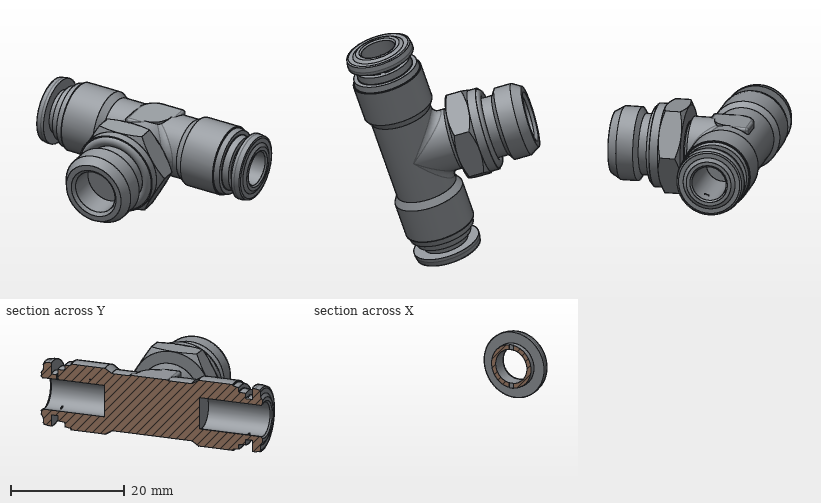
import cadquery as cq
import math

run_radius = 5.5
stem_length = 21.7
blend_radius = 1.35

run_half_length = 21.1
neck_end = 7.6
socket_cone_end = 8.9
socket_radius = 6.3
socket_end = 15.4
cap_end = 16.55
cap_inner_radius = 6.05
cap_outer_radius = 5.85
seat_length = 0.1
seat_step = 0.06
ring_end = 17.9
ring_radius = 5.05
ring_end_radius = 4.97
sleeve_radius = 4.03
collar_start = 19.1
collar_taper_start = 19.67
collar_bevel_start = 20.58
collar_end = 20.7
collar_radius = 6.05
collar_bevel_radius = 5.87
collar_face_radius = 5.55
right_sleeve_turn = 18.7
slot_width = 0.8
slot_length = 0.2
lip_base_radius = 4.7
lip_tip_radius = 4.05
tube_bore_radius = 3.1
tube_bore_mouth_radius = 3.4
tube_bore_depth = 12.0

body_neck_end = 7.43
body_cone_end = 8.0
body_cone_radius = 4.63
hex_start = 8.2
hex_end = 12.29
hex_across_flats = 15.0
hex_turn = 1.9
hex_face_radius = 7.46
hex_chamfer_angle = 30.0
flange_radius = 7.45
flange_end = 13.84
seal_center_radius = 6.36
seal_section_radius = 0.9
seal_end = 14.54
undercut_radius = seal_center_radius - seal_section_radius
undercut_end = 16.22
thread_radius = 6.58
thread_start = 16.98
thread_end = 20.03
stem_tip_radius = 5.57
stem_bore_radius = 4.0
stem_bore_mouth_radius = 4.55
stem_bore_depth = 5.0

pad_radius = 3.5
pad_reach = 4.5
pad_edge_radius = 0.5
pad_base = 2.0


def revolve_about_x(points):
    return cq.Workplane("XY").polyline(points).close().revolve(360, (0, 0, 0), (1, 0, 0))


def mouth_chamfered_bore(radius, mouth_radius, depth):
    """Bore along +X from the origin, with a 45 degree chamfer at its mouth."""
    chamfer = mouth_radius - radius
    return revolve_about_x(
        [(0, 0), (0, mouth_radius), (chamfer, radius), (depth, radius), (depth, 0)]
    )


def body():
    """Equal run and branch cylinders crossing at right angles, blended in the two crotches."""
    run = cq.Workplane("YZ").circle(run_radius).extrude(2 * neck_end).translate((-neck_end, 0, 0))
    branch = cq.Workplane("XZ").circle(run_radius).extrude(body_neck_end)
    return run.union(branch).edges("%ELLIPSE").fillet(blend_radius)


def pad():
    """Pad flush with the run crest: a soft edged outline, plus a plain round fourth quadrant."""
    arc_middle = pad_radius * math.sqrt(0.5)
    height = run_radius - pad_base
    soft_block = (
        cq.Workplane("XY", origin=(0, 0, pad_base))
        .moveTo(0, pad_radius)
        .lineTo(pad_reach, pad_radius)
        .lineTo(pad_reach, -pad_reach)
        .lineTo(-pad_radius, -pad_reach)
        .lineTo(-pad_radius, 0)
        .threePointArc((-arc_middle, arc_middle), (0, pad_radius))
        .close()
        .extrude(height)
        .edges("|Z and (>X and >Y or <X and <Y)")
        .fillet(pad_edge_radius)
        .faces(">Z")
        .edges()
        .fillet(pad_edge_radius)
    )
    fourth_quadrant = (
        cq.Workplane("XY", origin=(0, 0, pad_base))
        .rect(2 * pad_reach, -2 * pad_reach, centered=False)
        .extrude(height)
    )
    drum = cq.Workplane("XY", origin=(0, 0, pad_base)).circle(pad_radius).extrude(height)
    return soft_block.cut(fourth_quadrant).union(drum.intersect(fourth_quadrant))


def socket():
    """One push-in socket, pointing along +X: body, cap, ring, sleeve and release collar."""
    outline = [
        (neck_end, 0),
        (neck_end, run_radius),
        (socket_cone_end, socket_radius),
        (socket_end, socket_radius),
        (socket_end, cap_inner_radius + seat_step),
        (socket_end + seat_length, cap_inner_radius + seat_step),
        (socket_end + seat_length, cap_inner_radius),
        (cap_end, cap_outer_radius),
        (cap_end, ring_radius + seat_step),
        (cap_end + seat_length, ring_radius + seat_step),
        (cap_end + seat_length, ring_radius),
        (ring_end, ring_end_radius),
        (ring_end, sleeve_radius),
        (collar_start, sleeve_radius),
        (collar_start, collar_radius),
        (collar_taper_start, collar_radius),
        (collar_bevel_start, collar_bevel_radius),
        (collar_end, collar_face_radius),
        (collar_end, lip_base_radius),
        (run_half_length, lip_tip_radius),
        (run_half_length, 0),
    ]
    return revolve_about_x(outline)


def tube_bore():
    """Cut for the +X end: the tube bore, plus slots through the sleeve wall above and below."""
    bore = mouth_chamfered_bore(tube_bore_radius, tube_bore_mouth_radius, tube_bore_depth)
    bore = bore.mirror("YZ").translate((run_half_length, 0, 0))
    slots = cq.Workplane("XY").box(slot_length, slot_width, 2 * sleeve_radius)
    return bore.union(slots.translate((ring_end + slot_length / 2, 0, 0)))


def hexagon():
    """Wrench hexagon on the stem, chamfered to a circle on both faces."""
    thickness = hex_end - hex_start
    corner_radius = hex_across_flats / math.sqrt(3)
    chamfer = (corner_radius - hex_face_radius) * math.tan(math.radians(hex_chamfer_angle))
    prism = cq.Workplane("XY").polygon(6, 2 * corner_radius).extrude(thickness)
    envelope = (
        cq.Workplane("XZ")
        .polyline(
            [
                (0, 0),
                (hex_face_radius, 0),
                (corner_radius, chamfer),
                (corner_radius, thickness - chamfer),
                (hex_face_radius, thickness),
                (0, thickness),
            ]
        )
        .close()
        .revolve(360, (0, 0, 0), (0, 1, 0))
    )
    nut = prism.intersect(envelope).rotate((0, 0, 0), (0, 0, 1), hex_turn)
    return nut.rotate((0, 0, 0), (1, 0, 0), 90).translate((0, -hex_start, 0))


def stem():
    """Turned parts of the stem, from the body neck to the thread tip."""
    seal_center = seal_end - seal_section_radius
    seal_edge_radius = seal_center_radius + math.sqrt(
        seal_section_radius**2 - (flange_end - seal_center) ** 2
    )
    profile = (
        cq.Workplane("XY")
        .moveTo(0, -body_neck_end)
        .lineTo(run_radius, -body_neck_end)
        .lineTo(body_cone_radius, -body_cone_end)
        .lineTo(body_cone_radius, -hex_end)
        .lineTo(flange_radius, -hex_end)
        .lineTo(flange_radius, -flange_end)
        .lineTo(seal_edge_radius, -flange_end)
        .threePointArc(
            (seal_center_radius, -seal_end),
            (undercut_radius, -seal_center),
        )
        .lineTo(undercut_radius, -undercut_end)
        .lineTo(thread_radius, -thread_start)
        .lineTo(thread_radius, -thread_end)
        .lineTo(stem_tip_radius, -stem_length)
        .lineTo(0, -stem_length)
        .close()
    )
    return profile.revolve(360, (0, 0, 0), (0, 1, 0))


def stem_bore():
    """Chamfer-mouthed blind bore in the thread tip."""
    bore = mouth_chamfered_bore(stem_bore_radius, stem_bore_mouth_radius, stem_bore_depth)
    return bore.rotate((0, 0, 0), (0, 0, 1), 90).translate((0, -stem_length, 0))


right_socket = socket()
right_bore = tube_bore()

result = body().union(pad())
for added in (right_socket, right_socket.mirror("YZ"), stem(), hexagon()):
    result = result.union(added)

turned_right_bore = right_bore.rotate((0, 0, 0), (1, 0, 0), -right_sleeve_turn)
for removed in (turned_right_bore, right_bore.mirror("YZ"), stem_bore()):
    result = result.cut(removed)